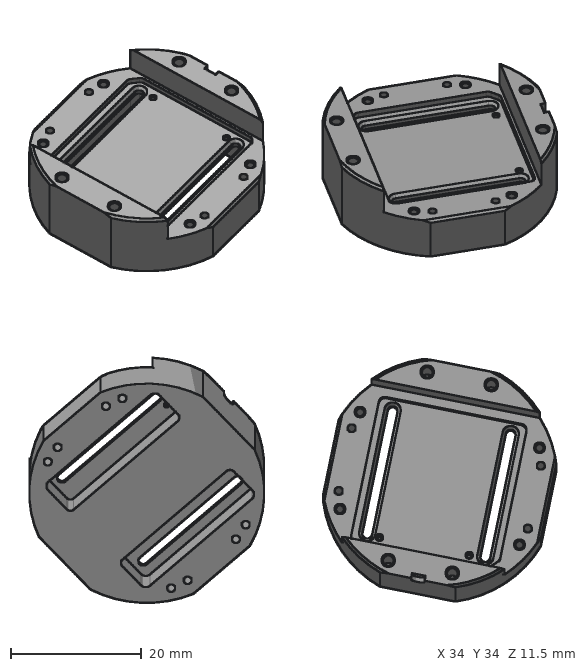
import cadquery as cq
import math

FLAT_WIDTH = 34.0
HALF = FLAT_WIDTH / 2
DISC_RADIUS = 18.0
TOTAL_HEIGHT = 11.5
SHELF_HEIGHT = 7.0
RIM_CHAMFER = 0.4

FRONT_WALL_Y = -12.27
BACK_WALL_Y = 12.75

POCKET_HALF_X = 11.53
POCKET_FRONT_Y = -10.8
POCKET_BACK_Y = 12.25
POCKET_DEPTH = 1.0
POCKET_CORNER_RADIUS = 1.0
POCKET_CORNER_CUT = 1.5
POCKET_FLOOR = SHELF_HEIGHT - POCKET_DEPTH

SLOT_X = 9.2
SLOT_FRONT_Y = -9.15
SLOT_BACK_Y = 10.37
SLOT_WIDTH = 1.5
SLOT_BEVEL = 0.5

RECESS_WIDTH = 6.0
RECESS_DEPTH = 4.8
RECESS_INNER_RADIUS = 0.75

PIN_HOLE_XS = (-6.75, 7.25)
PIN_HOLE_Y = 10.68
PIN_HOLE_RADIUS = 0.35
PIN_HOLE_CHAMFER = 0.2

WALL_HOLE_X = 5.0
WALL_HOLE_Y = 15.0
WALL_HOLE_RADIUS = 0.8
WALL_HOLE_CHAMFER = 0.2
WALL_HOLE_DEPTH = 6.0
DRILL_TIP_ANGLE = 118.0

THREAD_HOLE_X = 14.0
THREAD_HOLE_Y = 7.72
THREAD_HOLE_RADIUS = 0.6
THREAD_HOLE_CHAMFER = 0.2

DOWEL_HOLE_X = 14.75
DOWEL_HOLE_Y = 5.0
DOWEL_HOLE_RADIUS = 0.6

NOTCH_RADIUS = 1.05
NOTCH_DEPTH = 0.78
NOTCH_AXIS_DROP = 1.0


def trimmed_disc():
    """Disc with a flat on each of its four sides, its round edge chamfered at the top."""
    disc = cq.Workplane("XY").circle(DISC_RADIUS).extrude(TOTAL_HEIGHT)
    disc = disc.faces(">Z").chamfer(RIM_CHAMFER)
    block = cq.Workplane("XY").box(FLAT_WIDTH, FLAT_WIDTH, TOTAL_HEIGHT, centered=(True, True, False))
    return disc.intersect(block)


def channel():
    """Space between the end walls, above a floor whose two outer X edges are chamfered."""
    profile = [
        (-HALF, SHELF_HEIGHT - RIM_CHAMFER),
        (-HALF + RIM_CHAMFER, SHELF_HEIGHT),
        (HALF - RIM_CHAMFER, SHELF_HEIGHT),
        (HALF, SHELF_HEIGHT - RIM_CHAMFER),
        (HALF, TOTAL_HEIGHT),
        (-HALF, TOTAL_HEIGHT),
    ]
    space = cq.Workplane("XZ").polyline(profile).close().extrude(FRONT_WALL_Y - BACK_WALL_Y)
    return space.translate((0, FRONT_WALL_Y, 0))


def pocket():
    """Pocket with rounded corners and a straight cut across its (-X, +Y) corner."""
    outline = [
        (-POCKET_HALF_X, POCKET_FRONT_Y),
        (POCKET_HALF_X, POCKET_FRONT_Y),
        (POCKET_HALF_X, POCKET_BACK_Y),
        (POCKET_CORNER_CUT - POCKET_HALF_X, POCKET_BACK_Y),
        (-POCKET_HALF_X, POCKET_BACK_Y - POCKET_CORNER_CUT),
    ]
    space = cq.Workplane("XY").workplane(offset=POCKET_FLOOR).polyline(outline).close().extrude(POCKET_DEPTH)
    return space.edges("|Z").fillet(POCKET_CORNER_RADIUS)


def underside_recess():
    """Recess below the +X slot, under the pocket and open at the bottom."""
    length = POCKET_BACK_Y - POCKET_FRONT_Y
    space = cq.Workplane("XY").box(RECESS_WIDTH, length, RECESS_DEPTH, centered=False)
    space = space.edges("|Z and >X").fillet(POCKET_CORNER_RADIUS)
    space = space.edges("|Z and <X").fillet(RECESS_INNER_RADIUS)
    return space.translate((POCKET_HALF_X - RECESS_WIDTH, POCKET_FRONT_Y, 0))


def slot(x):
    """Through slot along Y, bevelled where it meets the pocket floor."""
    middle_y = (SLOT_FRONT_Y + SLOT_BACK_Y) / 2
    travel = SLOT_BACK_Y - SLOT_FRONT_Y
    wide = SLOT_WIDTH + 2 * SLOT_BEVEL
    through = cq.Workplane("XY").center(x, middle_y).slot2D(travel + SLOT_WIDTH, SLOT_WIDTH, 90)
    through = through.extrude(POCKET_FLOOR)
    bevel = cq.Workplane("XY").workplane(offset=POCKET_FLOOR).center(x, middle_y)
    bevel = bevel.slot2D(travel + wide, wide, 90).extrude(-SLOT_BEVEL, taper=45)
    return through.union(bevel)


def hole(x, y, top, radius, chamfer=0.0, depth=None):
    """Vertical hole from height top; through if depth is None, else blind with a drill tip."""
    if depth is None:
        lower_end = [(0, 0), (radius, 0)]
    else:
        tip = radius / math.tan(math.radians(DRILL_TIP_ANGLE / 2))
        lower_end = [(0, top - depth - tip), (radius, top - depth)]
    upper_end = [(radius, top)]
    if chamfer:
        upper_end = [(radius, top - chamfer), (radius + chamfer, top)]
    profile = lower_end + upper_end + [(0, top)]
    cutter = cq.Workplane("XZ").polyline(profile).close().revolve(360, (0, 0, 0), (0, 1, 0))
    return cutter.translate((x, y, 0))


def notch():
    """U-shaped groove open at the top and at the outer face of the back wall."""
    axis_z = TOTAL_HEIGHT - NOTCH_AXIS_DROP
    groove = (
        cq.Workplane("XZ", origin=(0, HALF, 0))
        .moveTo(-NOTCH_RADIUS, TOTAL_HEIGHT)
        .lineTo(-NOTCH_RADIUS, axis_z)
        .threePointArc((0, axis_z - NOTCH_RADIUS), (NOTCH_RADIUS, axis_z))
        .lineTo(NOTCH_RADIUS, TOTAL_HEIGHT)
        .close()
    )
    return groove.extrude(NOTCH_DEPTH)


result = trimmed_disc().cut(channel()).cut(pocket()).cut(notch())
result = result.cut(underside_recess()).cut(underside_recess().mirror("YZ"))

for side_x in (-1, 1):
    result = result.cut(slot(side_x * SLOT_X))
    for side_y in (-1, 1):
        wall_hole = hole(
            side_x * WALL_HOLE_X, side_y * WALL_HOLE_Y, TOTAL_HEIGHT,
            WALL_HOLE_RADIUS, WALL_HOLE_CHAMFER, WALL_HOLE_DEPTH,
        )
        thread_hole = hole(
            side_x * THREAD_HOLE_X, side_y * THREAD_HOLE_Y, SHELF_HEIGHT,
            THREAD_HOLE_RADIUS, THREAD_HOLE_CHAMFER,
        )
        dowel_hole = hole(side_x * DOWEL_HOLE_X, side_y * DOWEL_HOLE_Y, SHELF_HEIGHT, DOWEL_HOLE_RADIUS)
        result = result.cut(wall_hole).cut(thread_hole).cut(dowel_hole)

for pin_x in PIN_HOLE_XS:
    result = result.cut(hole(pin_x, PIN_HOLE_Y, POCKET_FLOOR, PIN_HOLE_RADIUS, PIN_HOLE_CHAMFER))